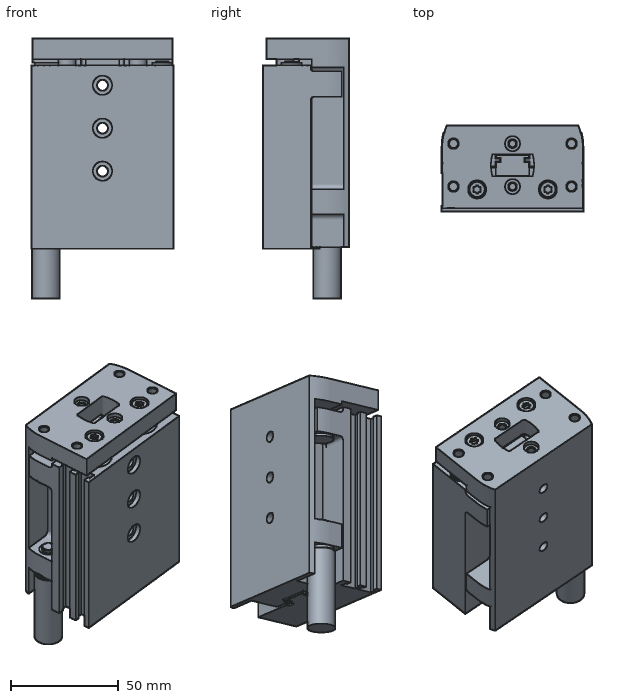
import cadquery as cq
import math


housing_half_width = 33.0
housing_bottom = 23.1
housing_top = 108.3
housing_depth = 22.2
middle_wall_setback = 0.6
slot_spans = [(2.7, 8.3), (11.8, 17.8)]
slot_mouth_depth = 2.9
slot_total_depth = 5.9
slot_undercut = 1.0
lug_bottom = 93.8
lug_top = 105.5
lug_back = 36.5
lug_corner_radius = 1.8
button_diameter = 11.4
button_height = 1.2
mounting_hole_diameter = 5.0
mounting_counterbore_diameter = 9.0
mounting_counterbore_depth = 2.4
mounting_hole_top = 99.1
mounting_hole_pitch = 20.0
mounting_hole_heights = [mounting_hole_top - i * mounting_hole_pitch for i in range(3)]

rail_half_width = 7.7
rail_front = 16.7
rail_back = 26.3
rail_top = 111.2
groove_half_width = 5.5
groove_front = 23.0
groove_back = 24.9
rail_clearance = 0.2

pad_half_width = 10.9
pad_front = 20.9
channel_half_width = 11.1
channel_floor = 20.5

part_top = 120.8
slide_half_width = 32.6
slide_back = 40.0
slide_bottom = 23.9
back_half_width = 30.6
side_arc_start = 30.1
head_front = 1.6
head_bottom = 111.2
slide_front = 22.6
absorber_recess_top = 109.6
stop_recess_top = 107.5
back_wall_front = 37.5
rib_half_width = 17.6
shelf_top = 50.8
shelf_bottom = 39.2
recess_radius = 2.4

window_front = 16.3
window_back = 26.7
window_half_width = 10.0
window_end_half_width = 9.3
window_corner_radius = 0.6
window_floor = 106.3
front_hole_y = 11.6
back_hole_y = 31.5
corner_hole_x = 27.4
corner_hole_diameter = 4.1
corner_hole_mouth = 5.0
center_hole_diameter = 3.3
center_hole_mouth = 4.1
center_counterbore_diameter = 7.0
center_counterbore_depth = 2.0
threaded_hole_depth = 8.0

rod_x = 16.4
rod_y = 10.3
rod_diameter = 8.1
rod_bottom = 60.4
rod_recess_diameter = 16.0
rod_recess_depth = 1.8
screw_neck_diameter = 4.1
screw_bore_diameter = 8.5
screw_bore_depth = 6.0
screw_head_diameter = 8.0
screw_head_rim = 7.0
screw_head_sink = 0.7
socket_diameter = 3.0
socket_lobe_diameter = 1.0
socket_depth = 1.8
socket_lobes = 6

absorber_x = -26.3
absorber_y = 29.8
sleeve_diameter = 13.0
sleeve_top = 37.7
sleeve_chamfer = 0.4
neck_diameter = 11.8
absorber_body_diameter = 8.5
stem_diameter = 6.0
stem_height = 1.7
stem_chamfer = 0.4

stop_x = 27.8
stop_y = 13.2
stop_collar_diameter = 9.5
stop_collar_height = 1.3
stop_tip_diameter = 6.0
stop_tip_height = 0.7
stop_tip_chamfer = 0.4


def box(x0, x1, y0, y1, z0, z1):
    """Box between two opposite corners."""
    return cq.Workplane("XY").box(x1 - x0, y1 - y0, z1 - z0, centered=False).translate((x0, y0, z0))


def cylinder(x, y, z0, z1, diameter):
    """Upright cylinder from z0 to z1."""
    return cq.Workplane("XY", origin=(x, y, z0)).circle(diameter / 2).extrude(z1 - z0)


def chamfered_hole(x, y, top, diameter, mouth, depth):
    """Cutter for a blind upright hole whose edge is chamfered to the mouth diameter."""
    chamfer = (mouth - diameter) / 2
    cone = (cq.Workplane("XY", origin=(x, y, top)).circle(mouth / 2)
            .workplane(offset=-chamfer).circle(diameter / 2).loft())
    return cylinder(x, y, top - depth, top, diameter).union(cone)


arc_run = slide_back - side_arc_start
arc_inset = slide_half_width - back_half_width
side_arc_radius = (arc_run ** 2 + arc_inset ** 2) / (2 * arc_inset)
side_arc_center_x = slide_half_width - side_arc_radius


def side_x(half_width, y):
    """Half width at y, on the arc that leaves the flat side at half_width."""
    radius = half_width - side_arc_center_x
    return side_arc_center_x + math.sqrt(radius ** 2 - (y - side_arc_start) ** 2)


def rounded_block(half_width, front, back, bottom, top):
    """Block as wide as the part, its sides curving inwards behind side_arc_start."""
    end = side_x(half_width, back)
    middle_y = (side_arc_start + back) / 2
    middle = side_x(half_width, middle_y)
    return (cq.Workplane("XY", origin=(0, 0, bottom))
            .moveTo(-half_width, front).lineTo(half_width, front)
            .lineTo(half_width, side_arc_start)
            .threePointArc((middle, middle_y), (end, back))
            .lineTo(-end, back)
            .threePointArc((-middle, middle_y), (-half_width, side_arc_start))
            .close().extrude(top - bottom))


def rail(clearance, bottom, top):
    """Guide rail with a groove in each side, enlarged all round by the clearance."""
    wide = rail_half_width + clearance
    body = box(-wide, wide, rail_front - clearance, rail_back + clearance, bottom, top)
    for side in (-1, 1):
        inner = side * (groove_half_width + clearance)
        outer = side * (wide + 1.2)
        groove = box(min(inner, outer), max(inner, outer),
                     groove_front + clearance, groove_back - clearance, bottom, top)
        body = body.cut(groove)
    return body


def mounting_holes(depth):
    """Cutter for the row of through holes, from the mounting face to the given depth."""
    points = [(0, z) for z in mounting_hole_heights]
    return (cq.Workplane("XZ").pushPoints(points)
            .circle(mounting_hole_diameter / 2).extrude(-depth))


def side_slot(mouth_front, mouth_back):
    """Cutter for one undercut slot that runs the full height of the -X side."""
    outer = -housing_half_width
    throat = outer + slot_mouth_depth
    floor = outer + slot_total_depth
    return (cq.Workplane("XY", origin=(0, 0, housing_bottom))
            .moveTo(outer, mouth_front).lineTo(throat, mouth_front)
            .lineTo(throat, mouth_front - slot_undercut).lineTo(floor, mouth_front - slot_undercut)
            .lineTo(floor, mouth_back + slot_undercut).lineTo(throat, mouth_back + slot_undercut)
            .lineTo(throat, mouth_back).lineTo(outer, mouth_back)
            .close().extrude(housing_top - housing_bottom))


def housing_lugs():
    """Pair of lugs that reach back beside the slide rib, rounded where they leave the housing."""
    inner = rib_half_width + recess_radius
    root = housing_depth
    r = lug_corner_radius
    profile = (cq.Workplane("YZ", origin=(-housing_half_width, 0, 0))
               .moveTo(root, lug_bottom - r)
               .radiusArc((root + r, lug_bottom), r).lineTo(lug_back, lug_bottom)
               .lineTo(lug_back, lug_top).lineTo(root + r, lug_top)
               .radiusArc((root, lug_top + r), r)
               .close().extrude(2 * housing_half_width))
    outline = rounded_block(housing_half_width, root, lug_back, housing_bottom, housing_top)
    between = box(-inner, inner, root, lug_back, housing_bottom, housing_top)
    return profile.intersect(outline).cut(between)


def make_housing():
    body = box(-housing_half_width, housing_half_width, 0, housing_depth, housing_bottom, housing_top)
    wall_front = slot_spans[0][1]
    wall_back = slot_spans[1][0]
    for mouth_front, mouth_back in slot_spans:
        body = body.cut(side_slot(mouth_front, mouth_back))
    body = body.cut(box(-housing_half_width, middle_wall_setback - housing_half_width,
                        wall_front, wall_back, housing_bottom, housing_top))
    body = body.union(housing_lugs())
    body = body.union(cylinder(absorber_x, absorber_y, lug_bottom - button_height, lug_bottom,
                               button_diameter))
    body = body.cut(box(-channel_half_width, channel_half_width, channel_floor, housing_depth,
                        housing_bottom, housing_top))
    body = body.union(rail(0, housing_bottom, rail_top))

    body = body.cut(mounting_holes(rail_back))
    counterbores = (cq.Workplane("XZ").pushPoints([(0, z) for z in mounting_hole_heights])
                    .circle(mounting_counterbore_diameter / 2).extrude(-mounting_counterbore_depth))
    body = body.cut(counterbores)
    for side in (-1, 1):
        body = body.cut(cylinder(side * rod_x, rod_y, rod_bottom, housing_top, rod_diameter))
        body = body.cut(cylinder(side * rod_x, rod_y, housing_top - rod_recess_depth, housing_top,
                                 rod_recess_diameter))
    return body


def side_recess(bottom, top, side):
    """Cutter that clears one side of the slide from the outside to the central rib."""
    inner = side * rib_half_width
    outer = side * (slide_half_width + 1.2)
    return box(min(inner, outer), max(inner, outer), slide_front, back_wall_front, bottom, top)


def head_window():
    """Cutter for the opening above the rail, with bowed ends and rounded corners."""
    middle = (window_front + window_back) / 2
    return (cq.Workplane("XY", origin=(0, 0, window_floor))
            .moveTo(-window_end_half_width, window_front)
            .lineTo(window_end_half_width, window_front)
            .threePointArc((window_half_width, middle), (window_end_half_width, window_back))
            .lineTo(-window_end_half_width, window_back)
            .threePointArc((-window_half_width, middle), (-window_end_half_width, window_front))
            .close().extrude(part_top - window_floor)
            .edges("|Z").fillet(window_corner_radius))


def make_slide():
    body = rounded_block(slide_half_width, slide_front, slide_back, slide_bottom, part_top)
    for side, recess_top in ((-1, absorber_recess_top), (1, stop_recess_top)):
        upper = side_recess(shelf_top, recess_top, side)
        inner_edges = "<X" if side > 0 else ">X"
        upper = upper.faces(inner_edges).edges("|Y").fillet(recess_radius)
        lower = side_recess(slide_bottom, shelf_bottom, side)
        lower = lower.faces(inner_edges).edges("|Y and >Z").fillet(recess_radius)
        body = body.cut(upper).cut(lower)
    body = body.union(box(-slide_half_width, slide_half_width, head_front, slide_front,
                          head_bottom, part_top))
    body = body.union(box(-pad_half_width, pad_half_width, pad_front, slide_front,
                          slide_bottom, housing_top))

    body = body.cut(head_window())
    body = body.cut(rail(rail_clearance, slide_bottom, window_floor))
    body = body.cut(mounting_holes(slide_back))
    for y in (front_hole_y, back_hole_y):
        for side in (-1, 1):
            body = body.cut(chamfered_hole(side * corner_hole_x, y, part_top, corner_hole_diameter,
                                           corner_hole_mouth, threaded_hole_depth))
        counterbore_floor = part_top - center_counterbore_depth
        body = body.cut(cylinder(0, y, counterbore_floor, part_top, center_counterbore_diameter))
        body = body.cut(chamfered_hole(0, y, counterbore_floor, center_hole_diameter,
                                       center_hole_mouth, threaded_hole_depth - center_counterbore_depth))
    for side in (-1, 1):
        body = body.cut(cylinder(side * rod_x, rod_y, head_bottom, part_top, screw_neck_diameter))
        body = body.cut(cylinder(side * rod_x, rod_y, part_top - screw_bore_depth, part_top,
                                 screw_bore_diameter))
    absorber_bore = cylinder(absorber_x, absorber_y, shelf_bottom, shelf_top, absorber_body_diameter)
    return body.cut(absorber_bore)


def make_piston_rod(x):
    """Rod with its fastening screw: shank, neck and a head with a six-lobed socket."""
    head_seat = part_top - screw_bore_depth
    head_top = part_top - screw_head_sink
    rod = cylinder(x, rod_y, rod_bottom, head_bottom, rod_diameter)
    rod = rod.union(cylinder(x, rod_y, head_bottom, head_seat, screw_neck_diameter))
    head = cylinder(x, rod_y, head_seat, head_top, screw_head_diameter)
    head = head.faces(">Z").edges().chamfer((screw_head_diameter - screw_head_rim) / 2)
    socket = cylinder(x, rod_y, head_top - socket_depth, head_top, socket_diameter)
    lobes = (cq.Workplane("XY", origin=(x, rod_y, head_top - socket_depth))
             .polarArray(socket_diameter / 2, 90, 360, socket_lobes)
             .circle(socket_lobe_diameter / 2).extrude(socket_depth))
    return rod.union(head).cut(socket).cut(lobes)


def make_absorber():
    sleeve = cylinder(absorber_x, absorber_y, 0, sleeve_top, sleeve_diameter)
    sleeve = sleeve.faces(">Z").edges().chamfer(sleeve_chamfer)
    neck = cylinder(absorber_x, absorber_y, sleeve_top, shelf_bottom, neck_diameter)
    body = cylinder(absorber_x, absorber_y, shelf_bottom, shelf_top, absorber_body_diameter)
    stem = cylinder(absorber_x, absorber_y, shelf_top, shelf_top + stem_height, stem_diameter)
    stem = stem.faces(">Z").edges().chamfer(stem_chamfer)
    return sleeve.union(neck).union(body).union(stem)


def make_stop():
    """Stop standing on the housing top, with a collar and a chamfered tip."""
    collar_top = housing_top + stop_collar_height
    collar = cylinder(stop_x, stop_y, housing_top, collar_top, stop_collar_diameter)
    tip = cylinder(stop_x, stop_y, collar_top, collar_top + stop_tip_height, stop_tip_diameter)
    tip = tip.faces(">Z").edges().chamfer(stop_tip_chamfer)
    return collar.union(tip)


housing = make_housing()
slide = make_slide()
absorber = make_absorber()
stop = make_stop()
piston_rods = [make_piston_rod(side * rod_x) for side in (-1, 1)]

result = cq.Compound.makeCompound([
    housing.val(),
    slide.val(),
    absorber.val(),
    stop.val(),
    *[rod.val() for rod in piston_rods],
])